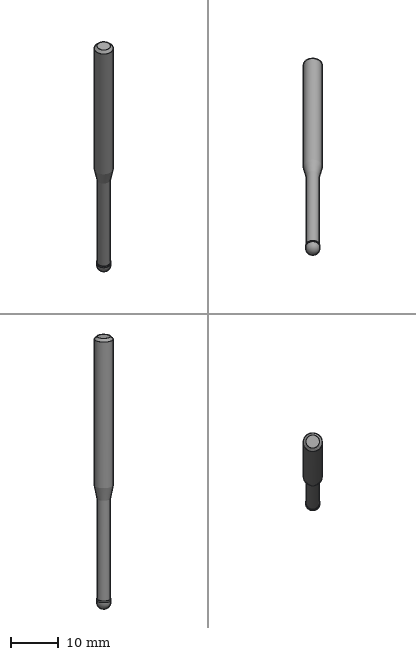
import cadquery as cq

total_length = 60.0
shank_radius = 6 / 3
ball_radius = 1.5
neck_radius = 1.4

head_top = 1.85
collar_top = 2.2

taper_bottom = 24.4
taper_top = 27.2
taper_bottom_radius = 1.45
step_height = 0.2

chamfer = 0.6


def revolve_about_z(profile):
    """Turn a closed half outline in the XZ plane into a round solid."""
    return profile.revolve(360, (0, 0, 0), (0, 1, 0))


def make_head():
    """Ball nose with a short straight band above it."""
    arc_offset = ball_radius / 2 ** 0.5
    profile = (
        cq.Workplane("XZ")
        .moveTo(0, 0)
        .threePointArc((arc_offset, ball_radius - arc_offset), (ball_radius, ball_radius))
        .lineTo(ball_radius, head_top)
        .lineTo(0, head_top)
        .close()
    )
    return revolve_about_z(profile)


def make_shank():
    """Collar, neck, taper and cylindrical shank with a chamfered free end."""
    profile = (
        cq.Workplane("XZ")
        .moveTo(0, head_top)
        .lineTo(ball_radius, head_top)
        .lineTo(ball_radius, collar_top)
        .lineTo(neck_radius, collar_top)
        .lineTo(neck_radius, taper_bottom - step_height)
        .lineTo(taper_bottom_radius, taper_bottom)
        .lineTo(shank_radius, taper_top)
        .lineTo(shank_radius, total_length - chamfer)
        .lineTo(shank_radius - chamfer, total_length)
        .lineTo(0, total_length)
        .close()
    )
    return revolve_about_z(profile)


head = make_head()
shank = make_shank()

result = cq.Compound.makeCompound([head.val(), shank.val()])